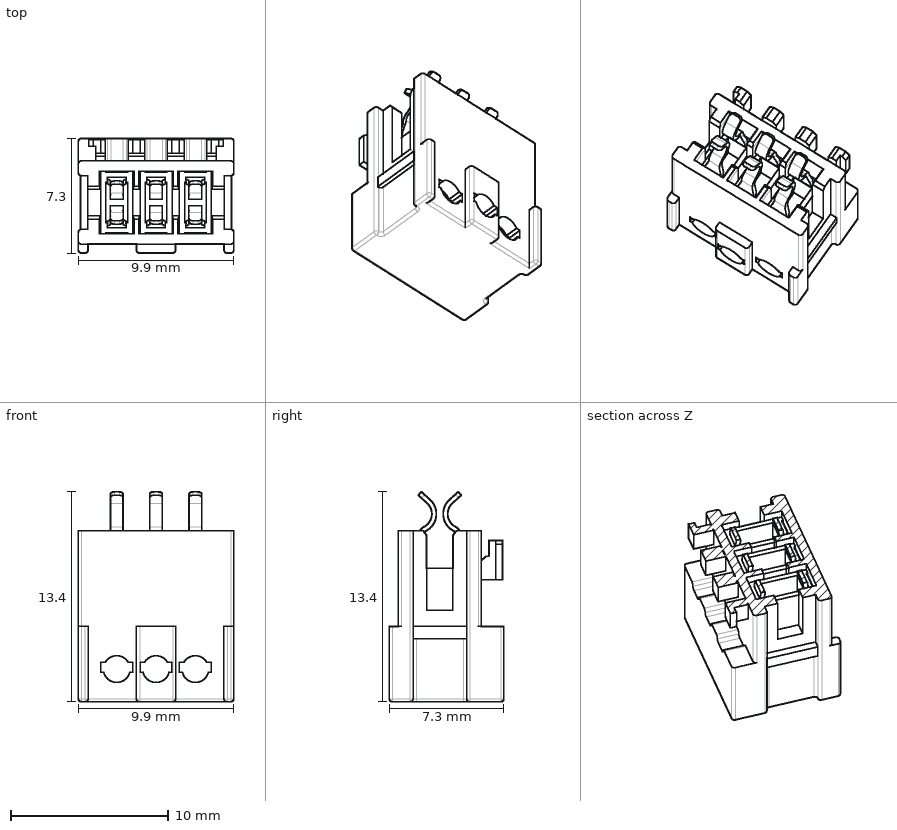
import cadquery as cq
import math

pole_pitch = 2.5
pole_positions = [-pole_pitch, 0, pole_pitch]

housing_width = 9.9
housing_depth = 5.29
housing_height = 10.88
side = housing_width / 2
wall_y = housing_depth / 2
base_height = 4.8
edge_radius = 0.2
bottom_radius = 0.19

flange_inner_y = 1.7
upper_recess_depth = 0.61
lower_recess_depth = 0.42
band_height = 0.8
band_recess_depth = 0.14

rear_y = 4.08
front_rib_y = -3.22
end_rib_width = 0.63
centre_rib_width = 2.5
groove_width = 1.18
groove_radius = 0.2

ear_width = 1.06
ear_chamfer_width = 0.29
ear_chamfer_height = 0.24
ear_bottom_z = 7.75
ear_top_z = 10.26
ear_step_z = 9.26
ear_foot_z = 9.0
ear_back_y = 3.99
ear_plate_y = 3.57
ear_step_y = 3.12
ear_slope_y = 2.95
ear_leg_offset = 0.09

slot_width = 1.66
slot_floor_z = 5.83
slot_chamfer_width = 0.22
slot_chamfer_height = 0.3
column_width = 2.04
column_top_z = 8.5
cavity_chamfer_width = 0.09
cavity_chamfer_height = 0.28
cavity_depth = 4.0
pocket_width = 1.37
pocket_depth = 2.6
pocket_floor_z = slot_floor_z
notch_length = 0.09
notch_depth = 0.2

wire_hole_z = 2.08
wire_hole_diameter = 1.7
key_slot_width = 2.02
key_slot_bottom_z = 1.87
key_slot_top_z = 2.53
wire_hole_depth = 0.95

contact_width = 0.82
contact_thickness = 0.3
contact_gap = 0.42
contact_outer_radius = 1.22
contact_arc_z = 11.95
upper_arc_angle = math.radians(48)
lower_arc_angle = math.radians(62)
shoulder_radius = 0.72
contact_top_z = 13.36
leg_outer_y = 1.62
leg_width = 1.2
leg_taper_top_z = 10.35
leg_taper_bottom_z = 9.5
tip_radius = 0.25


def box(x_range, y_range, z_range):
    """Box spanning the given coordinate ranges."""
    size = [high - low for low, high in (x_range, y_range, z_range)]
    corner = (x_range[0], y_range[0], z_range[0])
    return cq.Workplane("XY").box(*size, centered=False).translate(corner)


def make_base():
    """Lower block with recessed ends, a thick rear and three front ribs."""
    base = box((-side, side), (-wall_y, rear_y), (0, base_height))
    recess_x = side - lower_recess_depth
    for direction in (-1, 1):
        rib_x = sorted((direction * side, direction * (side - end_rib_width)))
        base = base.union(box(rib_x, (front_rib_y, -wall_y), (0, base_height)))
        recess = sorted((direction * side, direction * recess_x))
        base = base.cut(box(recess, (-flange_inner_y, flange_inner_y), (0, base_height)))
    half_rib = centre_rib_width / 2
    base = base.union(box((-half_rib, half_rib), (front_rib_y, -wall_y), (0, base_height)))

    inner_corners = cq.selectors.BoxSelector(
        (-side, -wall_y - edge_radius, 0),
        (side, -wall_y + edge_radius, base_height),
    )
    base = base.edges(cq.StringSyntaxSelector("|Z") - inner_corners).fillet(edge_radius)
    return base.faces("<Z").edges().fillet(bottom_radius)


def make_bands():
    """Thin bands closing the top of the lower end recesses."""
    band_x = side - band_recess_depth
    return box(
        (-band_x, band_x),
        (-flange_inner_y, flange_inner_y),
        (base_height - band_height, base_height),
    )


def make_upper_housing():
    """H-shaped upper body: two wide walls joined by narrower ends."""
    upper_z = (base_height, housing_height)
    upper = box((-side, side), (-wall_y, wall_y), upper_z)
    recess_x = side - upper_recess_depth
    for direction in (-1, 1):
        recess = sorted((direction * side, direction * recess_x))
        end_cut = box(recess, (-flange_inner_y, flange_inner_y), upper_z)
        upper = upper.cut(end_cut)
    flange_edges = upper.edges("|Z").edges(">X or <X")
    return flange_edges.fillet(edge_radius)


def make_groove(x):
    """Cutter for a rounded groove along Y in the top of the rear block."""
    half = groove_width / 2
    top = base_height
    r = groove_radius
    return (
        cq.Workplane("XZ", origin=(x, rear_y, 0))
        .moveTo(-half - r, top)
        .radiusArc((-half, top - r), r)
        .radiusArc((-half + r, top - 2 * r), -r)
        .lineTo(half - r, top - 2 * r)
        .radiusArc((half, top - r), -r)
        .radiusArc((half + r, top), r)
        .close()
        .extrude(rear_y - wall_y)
    )


def make_ear(x):
    """Ear with chamfered top corners, stepped down where it meets the rear wall."""
    half = ear_width / 2
    shoulder_z = ear_top_z - ear_chamfer_height
    front_shape = (
        cq.Workplane("XZ", origin=(x, ear_back_y, 0))
        .moveTo(-half, ear_bottom_z)
        .lineTo(half, ear_bottom_z)
        .lineTo(half, shoulder_z)
        .lineTo(half - ear_chamfer_width, ear_top_z)
        .lineTo(-half + ear_chamfer_width, ear_top_z)
        .lineTo(-half, shoulder_z)
        .close()
        .extrude(ear_back_y - wall_y)
    )
    side_shape = (
        cq.Workplane("YZ", origin=(x - half, 0, 0))
        .moveTo(wall_y, ear_bottom_z)
        .lineTo(ear_back_y, ear_bottom_z)
        .lineTo(ear_back_y, ear_top_z)
        .lineTo(ear_step_y, ear_top_z)
        .lineTo(ear_step_y, ear_step_z)
        .lineTo(ear_slope_y, ear_step_z)
        .lineTo(wall_y, ear_foot_z)
        .close()
        .extrude(ear_width)
    )
    return front_shape.intersect(side_shape)


def make_ears():
    """Four ears midway between poles; the outer two have their outer side cut back."""
    ears = cq.Workplane("XY")
    for index in range(len(pole_positions) + 1):
        ears = ears.add(make_ear(pole_positions[0] + (index - 0.5) * pole_pitch))
    ears = ears.combine()
    outer_x = abs(pole_positions[0]) + pole_pitch / 2
    for direction in (-1, 1):
        relief = sorted((direction * side, direction * (outer_x + ear_leg_offset)))
        ears = ears.cut(box(relief, (wall_y, ear_plate_y), (ear_bottom_z, ear_top_z)))
    return ears


def make_cross_slot():
    """Cutter for the slot through both ends, widened by chamfers at the top."""
    half = slot_width / 2
    mouth = half + slot_chamfer_width
    chamfer_z = housing_height - slot_chamfer_height
    return (
        cq.Workplane("YZ", origin=(-side, 0, 0))
        .moveTo(-half, slot_floor_z)
        .lineTo(half, slot_floor_z)
        .lineTo(half, chamfer_z)
        .lineTo(mouth, housing_height)
        .lineTo(-mouth, housing_height)
        .lineTo(-half, chamfer_z)
        .close()
        .extrude(housing_width)
    )


def make_cavity(x):
    """Cutter for the contact cavity, as wide as the column and chamfered at both sides of its mouth."""
    half = column_width / 2
    mouth_half = half + cavity_chamfer_width
    chamfer_z = housing_height - cavity_chamfer_height
    return (
        cq.Workplane("XZ", origin=(x, cavity_depth / 2, 0))
        .moveTo(-half, column_top_z)
        .lineTo(half, column_top_z)
        .lineTo(half, chamfer_z)
        .lineTo(mouth_half, housing_height)
        .lineTo(-mouth_half, housing_height)
        .lineTo(-half, chamfer_z)
        .close()
        .extrude(cavity_depth)
    )


def make_column(x):
    """Column carrying one pair of contacts, standing in the cross slot."""
    half = column_width / 2
    cavity_end = cavity_depth / 2
    return box((x - half, x + half), (-cavity_end, cavity_end), (slot_floor_z, column_top_z))


def make_pocket(x):
    """Cutter for the pocket between the contacts and the notches at both column ends."""
    half = pocket_width / 2
    x_range = (x - half, x + half)
    notch_z = column_top_z - notch_depth
    end = cavity_depth / 2
    pocket = box(x_range, (-pocket_depth / 2, pocket_depth / 2), (pocket_floor_z, column_top_z))
    rear_notch = box(x_range, (end - notch_length, end), (notch_z, column_top_z))
    front_notch = box(x_range, (-end, notch_length - end), (notch_z, column_top_z))
    return pocket.union(rear_notch).union(front_notch)


def make_wire_hole(x):
    """Cutter for a round wire entry with a key slot on both sides."""
    start_y = front_rib_y
    length = wire_hole_depth - wall_y - front_rib_y
    bore = (
        cq.Workplane("XZ", origin=(x, start_y, wire_hole_z))
        .circle(wire_hole_diameter / 2)
        .extrude(-length)
    )
    half = key_slot_width / 2
    key = box((x - half, x + half), (start_y, start_y + length), (key_slot_bottom_z, key_slot_top_z))
    return bore.union(key)


def make_contact_strip():
    """Spring strip on the +Y side: straight leg, inward bend, and outward curved tip."""
    outer = contact_outer_radius
    inner = outer - contact_thickness
    arc_y = contact_gap / 2 + outer

    def arc_point(radius, angle):
        return (arc_y - radius * math.cos(angle), contact_arc_z + radius * math.sin(angle))

    def slide(point, direction, length):
        return (point[0] + direction[0] * length, point[1] + direction[1] * length)

    upper_direction = (math.sin(upper_arc_angle), math.cos(upper_arc_angle))
    outer_top = arc_point(outer, upper_arc_angle)
    inner_top = arc_point(inner, upper_arc_angle)
    outer_bottom = arc_point(outer, -lower_arc_angle)
    inner_bottom = arc_point(inner, -lower_arc_angle)
    tip_length = (contact_top_z - outer_top[1]) / upper_direction[1]
    leg_inner_y = leg_outer_y - contact_thickness

    def shoulder_point(start, radius, angle):
        """Point on the reverse bend where the strip has turned back to the given slope."""
        return (
            start[0] + radius * (math.cos(angle) - math.cos(lower_arc_angle)),
            start[1] - radius * (math.sin(lower_arc_angle) - math.sin(angle)),
        )

    middle_angle = lower_arc_angle / 2
    shoulder_inner_radius = shoulder_radius - contact_thickness
    strip = (
        cq.Workplane("YZ", origin=(-leg_width / 2, 0, 0))
        .moveTo(leg_inner_y, pocket_floor_z)
        .lineTo(leg_inner_y, column_top_z)
        .lineTo(*shoulder_point(outer_bottom, shoulder_inner_radius, 0))
        .threePointArc(shoulder_point(outer_bottom, shoulder_inner_radius, middle_angle), outer_bottom)
        .threePointArc(arc_point(outer, 0), outer_top)
        .lineTo(*slide(outer_top, upper_direction, tip_length))
        .lineTo(*slide(inner_top, upper_direction, tip_length))
        .lineTo(*inner_top)
        .threePointArc(arc_point(inner, 0), inner_bottom)
        .threePointArc(
            shoulder_point(inner_bottom, shoulder_radius, middle_angle),
            shoulder_point(inner_bottom, shoulder_radius, 0),
        )
        .lineTo(leg_outer_y, column_top_z)
        .lineTo(leg_outer_y, pocket_floor_z)
        .close()
        .extrude(leg_width)
    )
    strip = strip.intersect(make_contact_outline())
    return strip.faces(">Z").edges("#X").edges("<Y or >Y").fillet(tip_radius)


def make_contact_outline():
    """Flat outline of a contact seen along Y: broad leg tapering to a narrow spring."""
    narrow = contact_width / 2
    broad = leg_width / 2
    return (
        cq.Workplane("XZ", origin=(0, wall_y, 0))
        .moveTo(-broad, pocket_floor_z)
        .lineTo(broad, pocket_floor_z)
        .lineTo(broad, leg_taper_bottom_z)
        .lineTo(narrow, leg_taper_top_z)
        .lineTo(narrow, contact_top_z)
        .lineTo(-narrow, contact_top_z)
        .lineTo(-narrow, leg_taper_top_z)
        .lineTo(-broad, leg_taper_bottom_z)
        .close()
        .extrude(2 * wall_y)
    )


result = make_base().union(make_bands()).union(make_upper_housing()).union(make_ears())
result = result.cut(make_cross_slot())
contact_strip = make_contact_strip()
opposite_strip = contact_strip.mirror("XZ")
for pole_x in pole_positions:
    result = result.cut(make_cavity(pole_x)).union(make_column(pole_x)).cut(make_pocket(pole_x))
    result = result.cut(make_groove(pole_x)).cut(make_wire_hole(pole_x))
    for strip in (contact_strip, opposite_strip):
        result = result.union(strip.translate((pole_x, 0, 0)))